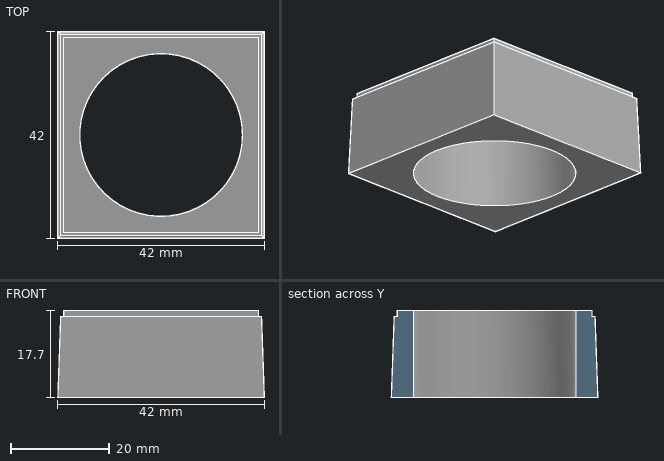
import cadquery as cq
import math

base_width = 42.0
draft_angle = 2.0
lip_width = 39.6
total_height = 17.7
lip_height = 1.2
bore_diameter = 33.0

body_height = total_height - lip_height
shoulder_width = base_width - 2 * body_height * math.tan(math.radians(draft_angle))


def tapered_body():
    """Square block narrowing evenly from its base to the shoulder."""
    return (
        cq.Workplane("XY")
        .rect(base_width, base_width)
        .workplane(offset=body_height)
        .rect(shoulder_width, shoulder_width)
        .loft(ruled=True)
    )


def raised_lip():
    """Straight square step standing on the shoulder."""
    return (
        cq.Workplane("XY")
        .workplane(offset=body_height)
        .rect(lip_width, lip_width)
        .extrude(lip_height)
    )


def through_bore():
    """Round opening running the full height of the part."""
    return cq.Workplane("XY").circle(bore_diameter / 2).extrude(total_height)


result = tapered_body().union(raised_lip()).cut(through_bore())